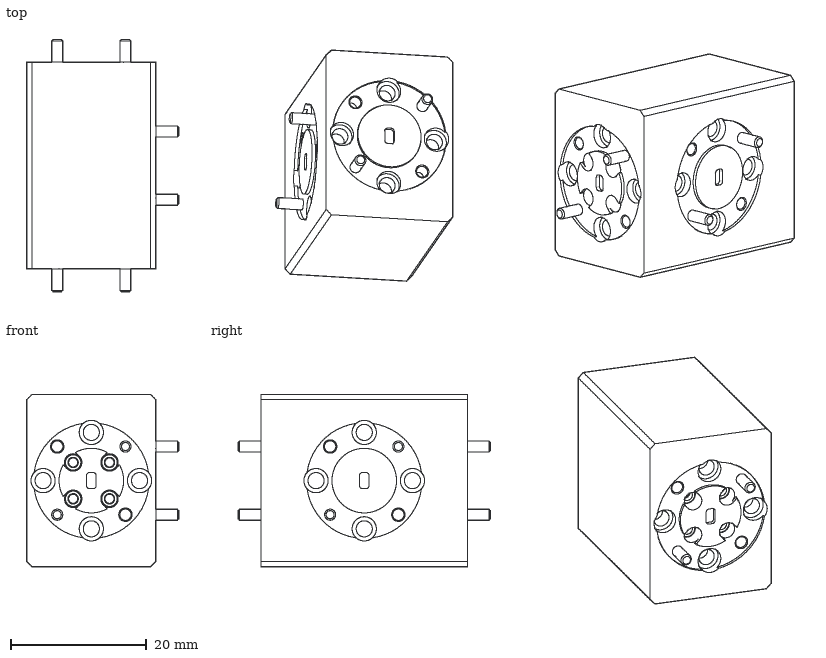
import cadquery as cq
import math

WIDTH = 19.05
LENGTH = 30.47
LENGTH_OVER_PINS = 37.2
HEIGHT = 25.4
EDGE_CHAMFER = 0.8

RING_DIAMETER = 17.05
RING_DEPTH = 0.52
DISC_DIAMETER = 9.53

BOLT_CIRCLE_DIAMETER = 14.2
TAPPED_DIAMETER = 2.4
TAPPED_DEPTH = 4.45
COUNTERBORE_DIAMETER = 3.57
COUNTERBORE_DEPTH = 1.7
PIN_HOLE_DIAMETER = 1.67
PIN_HOLE_CHAMFER = 0.15
PIN_HOLE_DEPTH = 3.72
DRILL_POINT_ANGLE = 118

PIN_DIAMETER = 1.65
PIN_PROTRUSION = (LENGTH_OVER_PINS - LENGTH) / 2
PIN_CHAMFER = 0.22

WAVEGUIDE_WIDTH = 1.4
WAVEGUIDE_HEIGHT = 2.4
WAVEGUIDE_CORNER_RADIUS = 0.45
WAVEGUIDE_DEPTH = 0.67

SCREW_COUNT = 4
SCREW_START_ANGLE = 45
SCREW_SPACING = 5.35
SCREW_DIAMETER = 2.55
SCREW_CHAMFER = 0.15
SCREW_LENGTH = 2.98
SCREW_SINK = 2.6
SOCKET_DIAMETER = 1.53
SOCKET_DEPTH = 1.1
SOCKET_CHAMFER = 0.093

BOLT_RADIUS = BOLT_CIRCLE_DIAMETER / 2
DIAGONAL_OFFSET = BOLT_RADIUS * math.sqrt(0.5)
TAPPED_POSITIONS = [(BOLT_RADIUS, 0), (0, BOLT_RADIUS), (-BOLT_RADIUS, 0), (0, -BOLT_RADIUS)]
PIN_POSITIONS = [(DIAGONAL_OFFSET, DIAGONAL_OFFSET), (-DIAGONAL_OFFSET, -DIAGONAL_OFFSET)]
PIN_HOLE_POSITIONS = [(-DIAGONAL_OFFSET, DIAGONAL_OFFSET), (DIAGONAL_OFFSET, -DIAGONAL_OFFSET)]

FRONT_PORT = cq.Plane(origin=(0, -LENGTH / 2, 0), xDir=(1, 0, 0), normal=(0, -1, 0))
BACK_PORT = cq.Plane(origin=(0, LENGTH / 2, 0), xDir=(-1, 0, 0), normal=(0, 1, 0))
SIDE_PORT = cq.Plane(origin=(WIDTH / 2, 0, 0), xDir=(0, 1, 0), normal=(1, 0, 0))


def make_block():
    """The block with its four long edges chamfered."""
    return cq.Workplane("XY").box(WIDTH, LENGTH, HEIGHT).edges("|Y").chamfer(EDGE_CHAMFER)


def flange_ring(port):
    """The ring cut into the block, leaving the disc standing in its middle."""
    return cq.Workplane(port).circle(RING_DIAMETER / 2).circle(DISC_DIAMETER / 2).extrude(-RING_DEPTH)


def drilled_holes(port, positions, diameter, depth):
    """Blind holes with a drill point below the full-diameter depth."""
    radius = diameter / 2
    point_depth = radius / math.tan(math.radians(DRILL_POINT_ANGLE / 2))
    drill = (
        cq.Workplane("XZ")
        .polyline([(0, 0), (radius, 0), (radius, -depth), (0, -depth - point_depth)])
        .close()
        .revolve(360, (0, 0, 0), (0, 1, 0))
        .val()
    )
    return cq.Workplane(port).pushPoints(positions).eachpoint(lambda place: drill.moved(place), True)


def counterbores(port):
    """Wider mouths of the tapped holes."""
    return (
        cq.Workplane(port)
        .pushPoints(TAPPED_POSITIONS)
        .circle(COUNTERBORE_DIAMETER / 2)
        .extrude(-COUNTERBORE_DEPTH)
    )


def pin_hole_chamfers(port):
    """Countersinks at the mouths of the pin holes, on the floor of the sunken ring."""
    return (
        cq.Workplane(port)
        .workplane(offset=-RING_DEPTH)
        .pushPoints(PIN_HOLE_POSITIONS)
        .circle(PIN_HOLE_DIAMETER / 2 + PIN_HOLE_CHAMFER)
        .extrude(-PIN_HOLE_CHAMFER, taper=45)
    )


def waveguide_opening(port):
    """Shallow round-cornered pocket in the middle of the disc."""
    return (
        cq.Workplane(port)
        .rect(WAVEGUIDE_WIDTH, WAVEGUIDE_HEIGHT)
        .extrude(-WAVEGUIDE_DEPTH)
        .edges(cq.selectors.ParallelDirSelector(port.zDir))
        .fillet(WAVEGUIDE_CORNER_RADIUS)
    )


def locating_pins(port):
    """Pins standing on the floor of the sunken ring."""
    tip = cq.selectors.DirectionMinMaxSelector(port.zDir, True)
    return (
        cq.Workplane(port)
        .workplane(offset=-RING_DEPTH)
        .pushPoints(PIN_POSITIONS)
        .circle(PIN_DIAMETER / 2)
        .extrude(RING_DEPTH + PIN_PROTRUSION)
        .faces(tip)
        .chamfer(PIN_CHAMFER)
    )


def screw_bores():
    """Blind bores for the screws, on the front flange."""
    return (
        cq.Workplane(FRONT_PORT)
        .rect(SCREW_SPACING, SCREW_SPACING, forConstruction=True)
        .vertices()
        .circle(SCREW_DIAMETER / 2)
        .extrude(-SCREW_SINK - SCREW_LENGTH)
    )


def screw_reliefs():
    """Slots as wide as the screw bores, which open the disc outward from each bore to the ring."""
    screw_circle_radius = SCREW_SPACING * math.sqrt(0.5)
    length = DISC_DIAMETER / 2 - screw_circle_radius
    return (
        cq.Workplane(FRONT_PORT)
        .polarArray(screw_circle_radius + length / 2, SCREW_START_ANGLE, 360, SCREW_COUNT)
        .rect(length, SCREW_DIAMETER)
        .extrude(-RING_DEPTH)
    )


def make_housing():
    """The block with a flange on its front, back and side, and screw bores in the front."""
    housing = make_block()
    for port in (FRONT_PORT, BACK_PORT, SIDE_PORT):
        housing = (
            housing.cut(flange_ring(port))
            .cut(counterbores(port))
            .cut(drilled_holes(port, TAPPED_POSITIONS, TAPPED_DIAMETER, TAPPED_DEPTH))
            .cut(drilled_holes(port, PIN_HOLE_POSITIONS, PIN_HOLE_DIAMETER, PIN_HOLE_DEPTH))
            .cut(pin_hole_chamfers(port))
            .cut(waveguide_opening(port))
            .union(locating_pins(port))
        )
    return housing.cut(screw_bores()).cut(screw_reliefs()).solids()


def make_screw(x, z):
    """A headless screw filling the lower part of its bore, with a round socket in its end."""
    top = FRONT_PORT.toWorldCoords((x, z, -SCREW_SINK))
    plane = cq.Plane(origin=top, xDir=FRONT_PORT.xDir, normal=FRONT_PORT.zDir)
    body = cq.Workplane(plane).circle(SCREW_DIAMETER / 2).extrude(-SCREW_LENGTH)
    body = body.faces("<Y").chamfer(SCREW_CHAMFER)
    socket = cq.Workplane(plane).circle(SOCKET_DIAMETER / 2).extrude(-SOCKET_DEPTH)
    socket = socket.faces(">Y").chamfer(SOCKET_CHAMFER)
    return body.cut(socket).solids().val()


housing = make_housing()
screws = [
    make_screw(x, z)
    for x in (-SCREW_SPACING / 2, SCREW_SPACING / 2)
    for z in (-SCREW_SPACING / 2, SCREW_SPACING / 2)
]

result = cq.Compound.makeCompound([housing.val(), *screws])